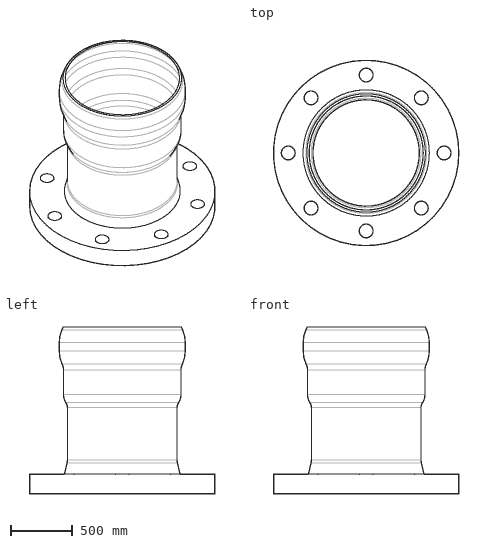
import cadquery as cq
import math

flange_diameter = 1500.0
flange_thickness = 160.0
bolt_circle_diameter = 1260.0
bolt_hole_diameter = 110.0
bolt_hole_count = 8

total_height = 1350.0
wall = 15.8
pipe_radius = 890.0 / 2
socket_radius = 952.0 / 2
bell_radius = 1022.0 / 2
bore_radius = pipe_radius - wall

pipe_bottom = 273.0
pipe_top = 699.0
socket_top = 1000.0
bell_top = 1224.0

socket_root_radius = 70.0
socket_crown_radius = 120.0
bell_root_radius = 118.0
bell_crown_radius = 256.0

mouth_lip_height = 22.0

neck_angle = math.radians(13)
neck_fillet_radius = 93.0


def on_arc(center, radius, angle):
    """Point (r, z) of an arc, at an angle measured from the outward radial direction."""
    r, z = center
    return (r + radius * math.cos(angle), z + radius * math.sin(angle))


def arc_to(path, center, radius, start, end):
    """Extend the path along an arc between two angles."""
    return path.threePointArc(on_arc(center, radius, (start + end) / 2), on_arc(center, radius, end))


def step_out(path, low_radius, high_radius, bottom, root_radius, crown_radius, inset):
    """Widen from one cylinder to the next by two tangent arcs, inset from the outer face."""
    radius_sum = root_radius + crown_radius
    turn = math.acos(1 - (high_radius - low_radius) / radius_sum)
    root_center = (low_radius + root_radius, bottom)
    crown_center = (high_radius - crown_radius, bottom + radius_sum * math.sin(turn))

    root = root_radius + inset
    crown = crown_radius - inset
    path = path.lineTo(low_radius - inset, bottom)
    path = arc_to(path, root_center, root, math.pi, math.pi - turn)
    return arc_to(path, crown_center, crown, -turn, 0)


def close_in_mouth(path, inset):
    """Curve the bell inward and end it with a tangent conical lip at the full height."""
    center = (bell_radius - bell_crown_radius, bell_top)
    lip_angle = math.asin((total_height - mouth_lip_height - bell_top) / bell_crown_radius)
    crown = bell_crown_radius - inset
    path = path.lineTo(bell_radius - inset, bell_top)
    path = arc_to(path, center, crown, 0, lip_angle)
    lip_r, lip_z = on_arc(center, crown, lip_angle)
    mouth_radius = lip_r - (total_height - lip_z) * math.tan(lip_angle)
    return path.lineTo(mouth_radius, total_height)


def above_pipe(path, inset):
    """Follow the profile from the pipe up to the mouth."""
    path = step_out(path, pipe_radius, socket_radius, pipe_top,
                    socket_root_radius, socket_crown_radius, inset)
    path = step_out(path, socket_radius, bell_radius, socket_top,
                    bell_root_radius, bell_crown_radius, inset)
    return close_in_mouth(path, inset)


def revolve_between(inner, outer):
    """Solid of revolution about Z between two open profiles drawn from bottom to top."""
    inner_wire = inner.wire().val()
    outer_wire = outer.wire().val()
    bottom = cq.Edge.makeLine(inner_wire.startPoint(), outer_wire.startPoint())
    top = cq.Edge.makeLine(inner_wire.endPoint(), outer_wire.endPoint())
    outline = cq.Wire.assembleEdges([bottom, *outer_wire.Edges(), top, *inner_wire.Edges()])
    face = cq.Face.makeFromWires(outline)
    return cq.Solid.revolve(face, 360, cq.Vector(0, 0, 0), cq.Vector(0, 0, 1))


def make_flange():
    return (
        cq.Workplane("XY")
        .circle(flange_diameter / 2)
        .circle(bore_radius)
        .extrude(flange_thickness)
        .faces(">Z")
        .workplane(origin=(0, 0, flange_thickness))
        .polarArray(bolt_circle_diameter / 2, 0, 360, bolt_hole_count)
        .hole(bolt_hole_diameter)
    )


def make_socket_tube():
    fillet_center = (pipe_radius + neck_fillet_radius, pipe_bottom)
    fillet_end = math.pi + neck_angle
    neck_r, neck_z = on_arc(fillet_center, neck_fillet_radius, fillet_end)
    neck_base_radius = neck_r + (neck_z - flange_thickness) * math.tan(neck_angle)

    outer = cq.Workplane("XZ").moveTo(neck_base_radius, flange_thickness).lineTo(neck_r, neck_z)
    outer = arc_to(outer, fillet_center, neck_fillet_radius, fillet_end, math.pi)
    outer = above_pipe(outer, 0)

    inner = above_pipe(cq.Workplane("XZ").moveTo(bore_radius, flange_thickness), wall)
    return cq.Workplane(revolve_between(inner, outer))


flange = make_flange()
socket_tube = make_socket_tube()

result = cq.Compound.makeCompound([flange.val(), socket_tube.val()])